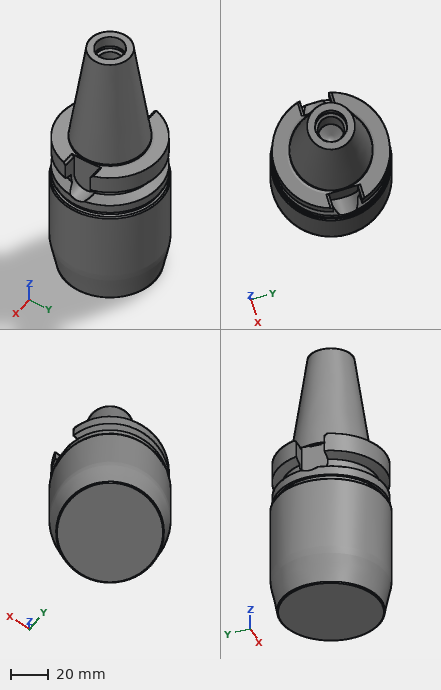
import cadquery as cq
import math

total_length = 159.4
body_radius = 65.0 / 2
body_top = 64.2
body_edge_chamfer = 0.8

nose_edge_chamfer = 0.6
nose_cone_top = 16.7
nose_blend_top = 21.0
nose_cone_angle = 11.4

neck_radius = 60.0 / 2
flange_radius = 63.0 / 2
flange_bottom = 67.1
flange_top = 93.1
groove_radius = 26.3
groove_outer_bottom = 72.4
groove_inner_bottom = 75.4
groove_inner_top = 80.0
groove_outer_top = 82.3

taper_bottom = 93.7
taper_bottom_radius = 22.3
taper_top_radius = 12.8
relief_outer_radius = 23.8
relief_inner_radius = 43.8 / 2
relief_depth = 0.5

slot_width = 16.1
slot_bottom = 71.0
slot_floor_offset = 22.3
slot_edge_chamfer = 1.5

pilot_radius = 17.0 / 2
pilot_depth = 7.0
undercut_radius = 17.4 / 2
undercut_depth = 8.8
drill_radius = 14.0 / 2
seat_depth = 9.7
drill_depth = 30.3
drill_point_angle = 118.0


def make_holder():
    """Revolve the outer profile of the holder about the Z axis."""
    cone_angle = math.radians(nose_cone_angle)
    blend_height = nose_blend_top - nose_cone_top
    cone_top_radius = body_radius - blend_height * math.tan(cone_angle / 2)
    cone_height = nose_cone_top - nose_edge_chamfer
    nose_radius = cone_top_radius - cone_height * math.tan(cone_angle)
    profile = (
        cq.Workplane("XZ")
        .lineTo(nose_radius - nose_edge_chamfer, 0)
        .lineTo(nose_radius, nose_edge_chamfer)
        .lineTo(cone_top_radius, nose_cone_top)
        .tangentArcPoint((body_radius, nose_blend_top), relative=False)
        .lineTo(body_radius, body_top - body_edge_chamfer)
        .lineTo(body_radius - body_edge_chamfer, body_top)
        .lineTo(neck_radius, body_top)
        .lineTo(neck_radius, flange_bottom)
        .lineTo(flange_radius, flange_bottom)
        .lineTo(flange_radius, groove_outer_bottom)
        .lineTo(groove_radius, groove_inner_bottom)
        .lineTo(groove_radius, groove_inner_top)
        .lineTo(flange_radius, groove_outer_top)
        .lineTo(flange_radius, flange_top)
        .lineTo(relief_outer_radius, flange_top)
        .lineTo(relief_inner_radius, flange_top - relief_depth)
        .lineTo(relief_inner_radius, taper_bottom)
        .lineTo(taper_bottom_radius, taper_bottom)
        .lineTo(taper_top_radius, total_length)
        .lineTo(0, total_length)
        .close()
    )
    return profile.revolve(360, (0, 0, 0), (0, 1, 0))


def make_drive_slot(side):
    """Round-bottomed slot with bevelled mouth, on the +X (1) or -X (-1) side."""
    half_width = slot_width / 2
    mouth_half_width = half_width + slot_edge_chamfer
    arc_center = slot_bottom + half_width
    bevel_bottom = flange_top - slot_edge_chamfer
    return (
        cq.Workplane("YZ")
        .workplane(offset=side * slot_floor_offset)
        .moveTo(-half_width, arc_center)
        .threePointArc((0, slot_bottom), (half_width, arc_center))
        .lineTo(half_width, bevel_bottom)
        .lineTo(mouth_half_width, flange_top)
        .lineTo(-mouth_half_width, flange_top)
        .lineTo(-half_width, bevel_bottom)
        .close()
        .extrude(side * (body_radius - slot_floor_offset))
    )


def make_end_hole():
    """Pilot bore, shallow undercut, conical seat and drilled hole with a conical point."""
    point_depth = drill_radius / math.tan(math.radians(drill_point_angle / 2))
    drill_bottom = total_length - drill_depth
    profile = (
        cq.Workplane("XZ")
        .moveTo(0, total_length)
        .lineTo(pilot_radius, total_length)
        .lineTo(pilot_radius, total_length - pilot_depth)
        .lineTo(undercut_radius, total_length - pilot_depth)
        .lineTo(undercut_radius, total_length - undercut_depth)
        .lineTo(drill_radius, total_length - seat_depth)
        .lineTo(drill_radius, drill_bottom)
        .lineTo(0, drill_bottom - point_depth)
        .close()
    )
    return profile.revolve(360, (0, total_length, 0), (0, total_length - 1.6, 0))


result = make_holder()
for slot_side in (-1, 1):
    result = result.cut(make_drive_slot(slot_side))
result = result.cut(make_end_hole())